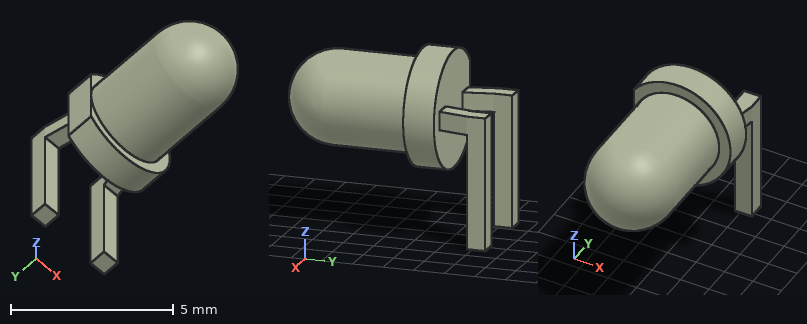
import cadquery as cq

lens_diameter = 3.0
lens_radius = lens_diameter / 2
lens_straight_length = 2.8

flange_diameter = 3.8
flange_radius = flange_diameter / 2
flange_thickness = 1.0

lead_width = 0.6
lead_pitch = 2.54
lead_pitch_at_flange = 2.145
overall_length = 6.87
lead_drop = 3.99

flange_back = flange_thickness
lead_back = overall_length - lens_straight_length - lens_radius
splay_end = lead_back - lead_width


def make_lens():
    profile = (
        cq.Workplane("XY")
        .lineTo(lens_radius, 0)
        .lineTo(lens_radius, -lens_straight_length)
        .radiusArc((0, -lens_straight_length - lens_radius), lens_radius)
        .close()
    )
    return profile.revolve(360, (0, 0, 0), (0, 1, 0))


def make_flange():
    disc = cq.Workplane("XZ").circle(flange_radius).extrude(-flange_thickness)
    kept_width = lens_radius + flange_radius
    keep = cq.Workplane("XY").box(
        kept_width, flange_thickness, 2 * flange_radius, centered=(False, False, True)
    ).translate((-lens_radius, 0, 0))
    return disc.intersect(keep)


def make_lead(side):
    """Return one lead; side is -1 for the -X lead and +1 for the +X lead."""
    inner_start = side * (lead_pitch_at_flange - lead_width) / 2
    outer_start = side * (lead_pitch_at_flange + lead_width) / 2
    inner_end = side * (lead_pitch - lead_width) / 2
    outer_end = side * (lead_pitch + lead_width) / 2
    shank = (
        cq.Workplane("XY")
        .workplane(offset=-lead_width / 2)
        .polyline([
            (inner_start, flange_back),
            (inner_end, splay_end),
            (inner_end, lead_back),
            (outer_end, lead_back),
            (outer_end, splay_end),
            (outer_start, flange_back),
        ])
        .close()
        .extrude(lead_width)
    )
    leg_height = lead_drop + lead_width / 2
    leg = cq.Workplane("XY").box(
        lead_width, lead_width, leg_height, centered=(True, False, False)
    ).translate((side * lead_pitch / 2, splay_end, -lead_drop))
    return shank.union(leg)


result = make_lens().union(make_flange())
for side in (-1, 1):
    result = result.union(make_lead(side))